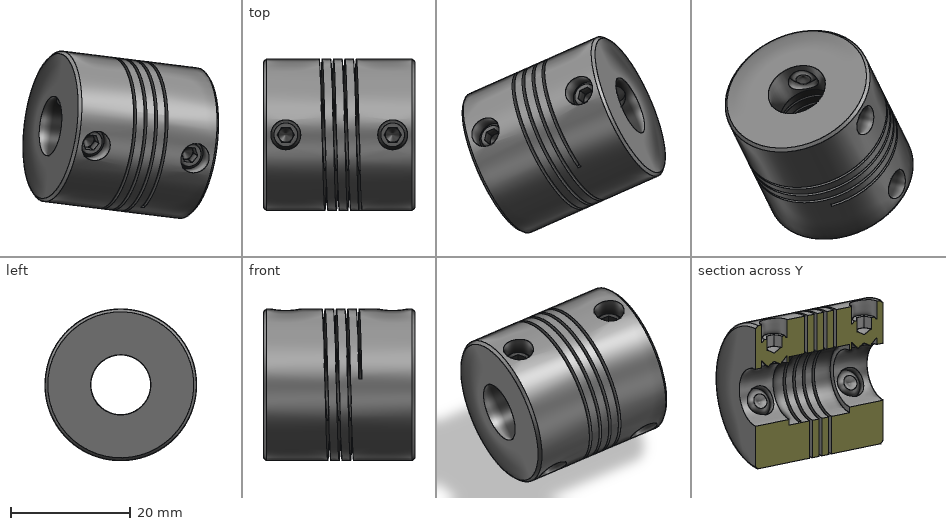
import cadquery as cq
import math


LENGTH = 25.4
DIAMETER = 25.4
END_CHAMFER = 0.48
BORE_DIAMETER = 10.0
RELIEF_DIAMETER = 12.0
RELIEF_LENGTH = 12.0

SLOT_WIDTH = 0.5
SLOT_PITCH = 1.9
SLOT_TURNS = 3.75
SLOT_START_ANGLE = -90.0
SLOT_END_SETBACK = 1.02
SLOT_OVERCUT = 0.5

SCREW_ANGLES = (90.0, -30.0)
SCREW_DIAMETER = 5.0
SCREW_LENGTH = 5.0
SCREW_END_DISTANCE = 3.75
HEAD_CHAMFER = 0.5
SOCKET_ACROSS_FLATS = 2.5
SOCKET_DEPTH = 2.03
SOCKET_CONE_DEPTH = 0.7
CUP_DIAMETER = 2.5
CUP_DEPTH = 0.7

middle_x = LENGTH / 2
radius = DIAMETER / 2
bore_radius = BORE_DIAMETER / 2
relief_radius = RELIEF_DIAMETER / 2
screw_radius = SCREW_DIAMETER / 2
screw_tip = bore_radius
screw_positions = (SCREW_END_DISTANCE, LENGTH - SCREW_END_DISTANCE)

AXIS_PLANE = cq.Plane(origin=(0, 0, 0), xDir=(0, 1, 0), normal=(1, 0, 0))


def make_body():
    """Chamfered cylinder with a through bore, relieved around the middle."""
    body = cq.Workplane(AXIS_PLANE).circle(radius).extrude(LENGTH)
    body = body.faces("<X or >X").chamfer(END_CHAMFER)
    bore = cq.Workplane(AXIS_PLANE).circle(bore_radius).extrude(LENGTH)
    relief_start = middle_x - RELIEF_LENGTH / 2
    relief = (
        cq.Workplane(AXIS_PLANE)
        .workplane(offset=relief_start)
        .circle(relief_radius)
        .extrude(RELIEF_LENGTH)
    )
    return body.cut(bore).cut(relief)


def make_slot():
    """Rectangular blade swept along a helix, reaching from the bore to outside the body."""
    setback_angle = math.degrees(SLOT_END_SETBACK / radius)
    turns = SLOT_TURNS - 2 * setback_angle / 360
    height = SLOT_PITCH * turns
    inner = bore_radius - SLOT_OVERCUT
    outer = radius + SLOT_OVERCUT
    middle = (inner + outer) / 2
    helix = cq.Wire.makeHelix(SLOT_PITCH, height, middle)
    blade = (
        cq.Workplane("XZ")
        .center(middle, 0)
        .rect(outer - inner, SLOT_WIDTH)
        .sweep(cq.Workplane(obj=helix), isFrenet=True)
        .rotate((0, 0, 0), (0, 0, 1), SLOT_START_ANGLE + setback_angle)
        .translate((0, 0, middle_x - height / 2))
    )
    return cq.Workplane(obj=blade.val().moved(cq.Location(AXIS_PLANE)))


def make_screw():
    """Socket set screw along +Z, its tip at the bore crown and its head outwards."""
    cup_radius = CUP_DIAMETER / 2
    tip_chamfer = screw_radius - cup_radius
    head = screw_tip + SCREW_LENGTH
    profile = [
        (0, screw_tip + CUP_DEPTH),
        (cup_radius, screw_tip),
        (screw_radius, screw_tip + tip_chamfer),
        (screw_radius, head - HEAD_CHAMFER),
        (screw_radius - HEAD_CHAMFER, head),
        (0, head),
    ]
    screw = cq.Workplane("XZ").polyline(profile).close().revolve(360, (0, 0), (0, 1))

    across_corners = SOCKET_ACROSS_FLATS / math.cos(math.pi / 6)
    socket_floor = head - SOCKET_DEPTH
    socket = (
        cq.Workplane("XY")
        .workplane(offset=socket_floor)
        .polygon(6, across_corners)
        .extrude(SOCKET_DEPTH)
    )
    cone = cq.Solid.makeCone(
        SOCKET_ACROSS_FLATS / 2, 0, SOCKET_CONE_DEPTH,
        pnt=(0, 0, socket_floor), dir=(0, 0, -1),
    )
    return screw.cut(socket).cut(cq.Workplane(obj=cone))


def add_screws(body):
    """Drill every radial screw hole and seat a screw in it."""
    blank = make_screw().val()
    for x in screw_positions:
        for angle in SCREW_ANGLES:
            outwards = (0, math.cos(math.radians(angle)), math.sin(math.radians(angle)))
            screw_plane = cq.Plane(origin=(x, 0, 0), xDir=(1, 0, 0), normal=outwards)
            hole = cq.Workplane(screw_plane).circle(screw_radius).extrude(DIAMETER)
            screw = blank.moved(cq.Location(screw_plane))
            body = body.cut(hole).union(cq.Workplane(obj=screw))
    return body


result = add_screws(make_body().cut(make_slot()))